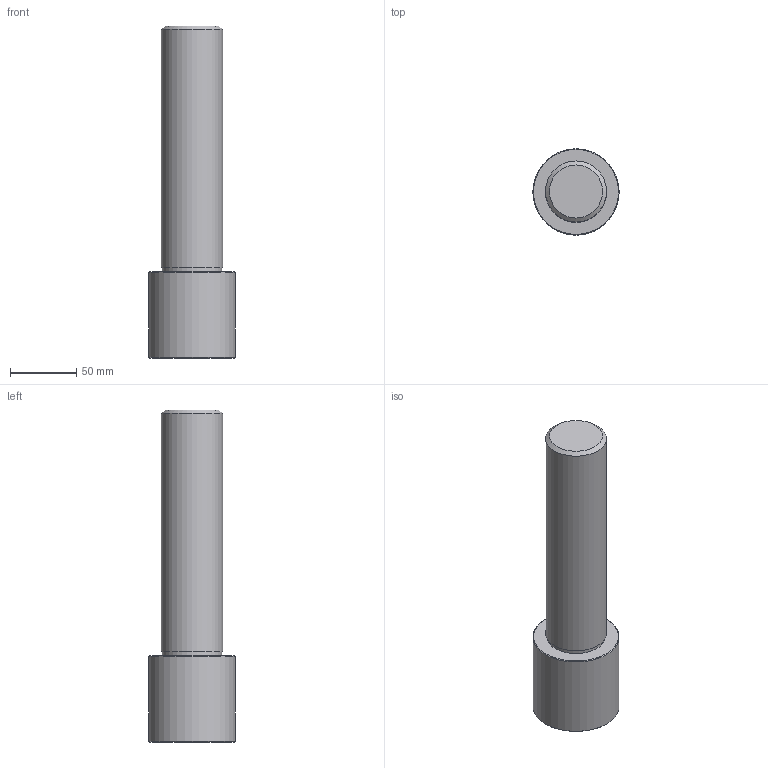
import cadquery as cq

total_length = 250.0
head_diameter = 65.0
head_length = 65.0
shank_diameter = 46.0

head_chamfer = 0.5
neck_diameter = 44.5
neck_length = 3.0
tip_diameter = 40.0
tip_length = 2.5

head_bottom = -total_length / 2


def make_head():
    """Cylindrical head with both rims lightly chamfered."""
    head = cq.Workplane("XY").workplane(offset=head_bottom).circle(head_diameter / 2).extrude(head_length)
    return head.faces("<Z or >Z").edges().chamfer(head_chamfer)


def make_shank():
    """Shank revolved about Z: relieved neck, plain cylinder and tapered tip."""
    neck_bottom = head_bottom + head_length
    neck_top = neck_bottom + neck_length
    tip_top = head_bottom + total_length
    tip_bottom = tip_top - tip_length
    profile = (
        cq.Workplane("XZ")
        .moveTo(0, neck_bottom)
        .lineTo(neck_diameter / 2, neck_bottom)
        .lineTo(neck_diameter / 2, neck_top)
        .lineTo(shank_diameter / 2, neck_top)
        .lineTo(shank_diameter / 2, tip_bottom)
        .lineTo(tip_diameter / 2, tip_top)
        .lineTo(0, tip_top)
        .close()
    )
    return profile.revolve(360, (0, 0), (0, 1))


result = make_head().union(make_shank())